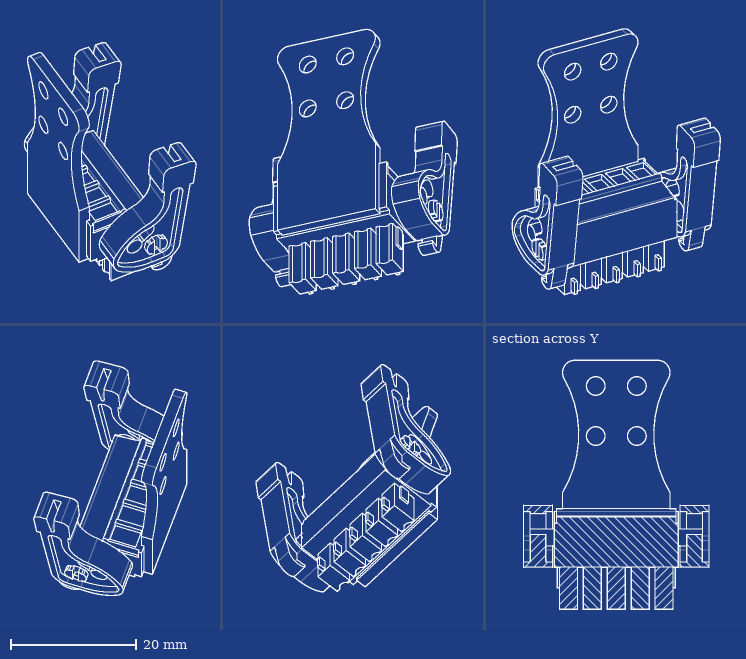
import cadquery as cq
import math


TOTAL_WIDTH = 29.65
TOTAL_HEIGHT = 39.75

POLE_COUNT = 5
POLE_PITCH = 3.8

BODY_BOTTOM = 6.68

HOUSING_HALF_WIDTH = 9.9
HOUSING_FRONT = 1.4
HOUSING_BACK = 12.5
HOUSING_TOP = 15.62
UPPER_HALF_WIDTH = 9.55
LEDGE_HEIGHT = 13.75
LEDGE_FRONT = 1.95
FOOT_NOTCH_TOP = 7.4
FOOT_NOTCH_BACK = 2.55
RIDGE_FRONT = 7.1
RIDGE_WIDTH = 0.9
RIDGE_TOP = 16.05
DECK_FRONT_HEIGHT = 14.9
DECK_BACK_HEIGHT = 14.2
DECK_BACK = 11.95
POCKET_WIDTH = 3.1
POCKET_FRONT = 2.62
POCKET_DEPTH = 1.0
TAB_HALF_SPAN = 9.42
TAB_FRONT = 6.95
TAB_BACK = 8.6
TAB_BOTTOM = 3.4

PLATE_THICKNESS = 1.85
PLATE_HALF_WIDTH = 8.6
PLATE_SHOULDER = 18.65
WAIST_HALF_WIDTH = 6.0
WAIST_HEIGHT = 27.95
PLATE_CORNER_RADIUS = 2.0
PLATE_HOLE_DIAMETER = 2.95
PLATE_HOLE_SPACING_X = 6.55
PLATE_HOLE_SPACING_Z = 8.0
PLATE_HOLES_CENTER = 31.65

FINGER_WIDTH = 2.9
FINGER_FRONT = 5.55
FINGER_BACK = 9.75
FINGER_GROOVE_WIDTH = 1.65
FINGER_GROOVE_DEPTH = 0.48
KEY_WIDTH = 0.55
KEY_BACK = 10.95
KEY_BOTTOM = 0.3
KEY_TOP = 2.62

LEVER_THICKNESS = 4.7
LEVER_RECESS = 1.07
GRIP_SLOT_DEPTH = 3.6
GRIP_STEP = 22.75
GRIP_CORNER_RADIUS = 1.2
PIVOT_Y = 10.95
PIVOT_Z = 10.5
PIVOT_RADIUS = 1.6
BARB_RADIUS = 1.83
BARB_HALF_HEIGHT = 1.2
BARB_LENGTH = 0.87
PIVOT_SLOT_WIDTH = 1.0
PIVOT_SLOT_DEPTH = 1.6
STUD_RADIUS = 1.35
STUD_ORBIT = 3.78
STUD_ANGLE = 165.0
GUIDE_END_ANGLE = 113.0
STUD_STOP_HEIGHT = 11.95

LEVER_OUTER = TOTAL_WIDTH / 2
LEVER_INNER = LEVER_OUTER - LEVER_THICKNESS
WEB_OUTER = LEVER_OUTER - LEVER_RECESS
WEB_THICKNESS = LEVER_THICKNESS - 2 * LEVER_RECESS
POLE_POSITIONS = [(i - (POLE_COUNT - 1) / 2) * POLE_PITCH for i in range(POLE_COUNT)]


def box(x0, x1, y0, y1, z0, z1):
    """Box between two opposite corners."""
    return cq.Workplane("XY").box(x1 - x0, y1 - y0, z1 - z0, centered=False).translate((x0, y0, z0))


def side_plane(x):
    """Workplane at the given X with local axes Y and Z, facing +X."""
    return cq.Workplane("YZ", origin=(x, 0, 0))


def around_pivot(radius, angle):
    """Point (Y, Z) at a polar position about the lever pivot."""
    a = math.radians(angle)
    return (PIVOT_Y + radius * math.cos(a), PIVOT_Z + radius * math.sin(a))


def make_plate():
    rise = WAIST_HEIGHT - PLATE_SHOULDER
    sagitta = PLATE_HALF_WIDTH - WAIST_HALF_WIDTH
    waist_radius = (rise**2 + sagitta**2) / (2 * sagitta)
    r = PLATE_CORNER_RADIUS
    corner_x = PLATE_HALF_WIDTH - r
    corner_z = TOTAL_HEIGHT - r
    slope = math.atan2(corner_z - WAIST_HEIGHT, WAIST_HALF_WIDTH + waist_radius - corner_x)
    neck_x = corner_x + r * math.cos(slope)
    neck_z = corner_z - r * math.sin(slope)
    mid = (math.pi / 2 - slope) / 2
    corner_mid = (corner_x + r * math.sin(mid), corner_z + r * math.cos(mid))

    plate = (
        cq.Workplane("XZ")
        .moveTo(-PLATE_HALF_WIDTH, BODY_BOTTOM)
        .lineTo(PLATE_HALF_WIDTH, BODY_BOTTOM)
        .lineTo(PLATE_HALF_WIDTH, PLATE_SHOULDER)
        .threePointArc((WAIST_HALF_WIDTH, WAIST_HEIGHT), (neck_x, neck_z))
        .threePointArc(corner_mid, (corner_x, TOTAL_HEIGHT))
        .lineTo(-corner_x, TOTAL_HEIGHT)
        .threePointArc((-corner_mid[0], corner_mid[1]), (-neck_x, neck_z))
        .threePointArc((-WAIST_HALF_WIDTH, WAIST_HEIGHT), (-PLATE_HALF_WIDTH, PLATE_SHOULDER))
        .close()
        .extrude(-PLATE_THICKNESS)
    )
    holes = (
        cq.Workplane("XZ", origin=(0, 0, PLATE_HOLES_CENTER))
        .rarray(PLATE_HOLE_SPACING_X, PLATE_HOLE_SPACING_Z, 2, 2)
        .circle(PLATE_HOLE_DIAMETER / 2)
        .extrude(-PLATE_THICKNESS)
    )
    return plate.cut(holes)


def make_finger(x):
    half = FINGER_WIDTH / 2
    groove_half = FINGER_GROOVE_WIDTH / 2
    finger = (
        cq.Workplane("XY")
        .moveTo(x - half, FINGER_FRONT)
        .lineTo(x - groove_half, FINGER_FRONT)
        .threePointArc((x, FINGER_FRONT + FINGER_GROOVE_DEPTH), (x + groove_half, FINGER_FRONT))
        .lineTo(x + half, FINGER_FRONT)
        .lineTo(x + half, FINGER_BACK)
        .lineTo(x - half, FINGER_BACK)
        .close()
        .extrude(BODY_BOTTOM)
    )
    key = box(x - KEY_WIDTH / 2, x + KEY_WIDTH / 2, FINGER_BACK, KEY_BACK, KEY_BOTTOM, KEY_TOP)
    return finger.union(key)


def make_housing_block():
    """Side profile with the rounded ridge and sloping deck, extruded along X."""
    ridge_back = RIDGE_FRONT + RIDGE_WIDTH
    ridge_radius = RIDGE_WIDTH / 2
    ridge_spring = RIDGE_TOP - ridge_radius
    return (
        side_plane(-HOUSING_HALF_WIDTH)
        .moveTo(HOUSING_FRONT, FOOT_NOTCH_TOP)
        .lineTo(FOOT_NOTCH_BACK, FOOT_NOTCH_TOP)
        .lineTo(FOOT_NOTCH_BACK, BODY_BOTTOM)
        .lineTo(HOUSING_BACK, BODY_BOTTOM)
        .lineTo(HOUSING_BACK, DECK_BACK_HEIGHT)
        .lineTo(DECK_BACK, DECK_BACK_HEIGHT)
        .lineTo(ridge_back, DECK_FRONT_HEIGHT)
        .lineTo(ridge_back, ridge_spring)
        .threePointArc((ridge_back - ridge_radius, RIDGE_TOP), (RIDGE_FRONT, ridge_spring))
        .lineTo(RIDGE_FRONT, HOUSING_TOP)
        .lineTo(HOUSING_FRONT, HOUSING_TOP)
        .close()
        .extrude(2 * HOUSING_HALF_WIDTH)
    )


def make_pivot():
    """Split snap pivot on the +X side, with barbs that hold the lever web."""
    shaft_length = WEB_OUTER - HOUSING_HALF_WIDTH
    shaft = (
        side_plane(HOUSING_HALF_WIDTH)
        .center(PIVOT_Y, PIVOT_Z)
        .circle(PIVOT_RADIUS)
        .extrude(shaft_length + BARB_LENGTH)
    )
    barb_disc = side_plane(WEB_OUTER).center(PIVOT_Y, PIVOT_Z).circle(BARB_RADIUS).extrude(BARB_LENGTH)
    barb_band = (
        side_plane(WEB_OUTER)
        .center(PIVOT_Y, PIVOT_Z)
        .rect(2 * BARB_RADIUS, 2 * BARB_HALF_HEIGHT)
        .extrude(BARB_LENGTH)
    )
    barbs = barb_disc.intersect(barb_band)
    slot_half = PIVOT_SLOT_WIDTH / 2
    tip = WEB_OUTER + BARB_LENGTH
    slot_floor = tip - PIVOT_SLOT_DEPTH
    slot = (
        cq.Workplane("XY", origin=(0, 0, PIVOT_Z - BARB_RADIUS))
        .moveTo(tip, PIVOT_Y - slot_half)
        .lineTo(slot_floor + slot_half, PIVOT_Y - slot_half)
        .threePointArc((slot_floor, PIVOT_Y), (slot_floor + slot_half, PIVOT_Y + slot_half))
        .lineTo(tip, PIVOT_Y + slot_half)
        .close()
        .extrude(2 * BARB_RADIUS)
    )
    return shaft.union(barbs).cut(slot)


def make_guide_stud():
    return (
        side_plane(HOUSING_HALF_WIDTH)
        .center(*around_pivot(STUD_ORBIT, STUD_ANGLE))
        .circle(STUD_RADIUS)
        .extrude(WEB_OUTER - HOUSING_HALF_WIDTH)
    )


def make_housing():
    housing = make_housing_block()

    housing = housing.cut(
        box(-PLATE_HALF_WIDTH, PLATE_HALF_WIDTH, 0, PLATE_THICKNESS, BODY_BOTTOM, HOUSING_TOP)
    )

    for x in POLE_POSITIONS:
        housing = housing.cut(
            box(
                x - POCKET_WIDTH / 2,
                x + POCKET_WIDTH / 2,
                POCKET_FRONT,
                RIDGE_FRONT,
                HOUSING_TOP - POCKET_DEPTH,
                HOUSING_TOP,
            )
        )

    ledge = box(UPPER_HALF_WIDTH, HOUSING_HALF_WIDTH, LEDGE_FRONT, HOUSING_BACK, LEDGE_HEIGHT, RIDGE_TOP)
    finger_side = POLE_POSITIONS[-1] + FINGER_WIDTH / 2
    tab = box(finger_side, TAB_HALF_SPAN, TAB_FRONT, TAB_BACK, TAB_BOTTOM, BODY_BOTTOM)

    fittings = tab.union(make_pivot()).union(make_guide_stud())
    housing = housing.cut(ledge).cut(ledge.mirror("YZ"))
    return housing.union(fittings).union(fittings.mirror("YZ"))


def lever_blade(x):
    """Full-thickness outline with the rounded nose, up to the foot of the grip."""
    return (
        side_plane(x)
        .moveTo(12.3, BODY_BOTTOM)
        .threePointArc((13.95, 7.6), (14.85, 8.85))
        .lineTo(16.9, GRIP_STEP)
        .lineTo(12.12, GRIP_STEP)
        .lineTo(12.0, 20.15)
        .threePointArc((10.77, 17.65), (8.75, 16.58))
        .threePointArc((5.7, 15.03), (3.35, 12.5))
        .lineTo(2.95, 11.8)
        .threePointArc((2.85, 10.35), (3.4, 8.85))
        .threePointArc((5.6, 7.35), (8.25, BODY_BOTTOM))
        .close()
        .extrude(LEVER_THICKNESS)
    )


def lever_grip(x):
    """Head at the top of the lever, with its two upper corners rounded."""
    outline = [
        (17.4, 22.15),
        (18.05, 27.25),
        (12.1, 27.8),
        (11.75, GRIP_STEP),
        (12.12, GRIP_STEP),
        (12.32, 22.15),
    ]
    above_step = cq.selectors.BoxSelector(
        (x - 0.4, 0, GRIP_STEP + 0.4),
        (x + LEVER_THICKNESS + 0.4, TOTAL_WIDTH, TOTAL_HEIGHT),
    )
    grip = side_plane(x).polyline(outline).close().extrude(LEVER_THICKNESS)
    return grip.edges("|X").edges(above_step).fillet(GRIP_CORNER_RADIUS)


def grip_slot(x):
    """Wedge-shaped slot in the head, open at the top and at the -X face."""
    return (
        side_plane(x)
        .moveTo(14.5, 28.22)
        .lineTo(15.9, 28.22)
        .lineTo(15.0, 23.85)
        .threePointArc((14.7, 23.57), (14.45, 23.85))
        .close()
        .extrude(GRIP_SLOT_DEPTH)
    )


def lever_recess(x):
    """Recess inside the rim of the blade."""
    return (
        side_plane(x)
        .moveTo(12.32, 7.6)
        .threePointArc((13.3, 8.0), (13.75, 9.0))
        .lineTo(15.45, 21.15)
        .threePointArc((14.5, 22.38), (13.28, 21.55))
        .lineTo(13.15, 20.15)
        .threePointArc((11.65, 16.95), (8.75, 15.55))
        .threePointArc((5.95, 14.1), (4.05, 11.73))
        .lineTo(3.7, 10.97)
        .threePointArc((3.6, 10.2), (4.05, 9.5))
        .threePointArc((6.68, 8.05), (9.95, 7.6))
        .close()
        .extrude(LEVER_RECESS)
    )


def guide_slot(x):
    """Curved slot through the web, concentric with the pivot, with a stop ledge near the stud."""
    outer = STUD_ORBIT + STUD_RADIUS
    inner = STUD_ORBIT - STUD_RADIUS
    middle_angle = (STUD_ANGLE + GUIDE_END_ANGLE) / 2
    band = (
        side_plane(x)
        .moveTo(*around_pivot(outer, STUD_ANGLE))
        .threePointArc(around_pivot(outer, middle_angle), around_pivot(outer, GUIDE_END_ANGLE))
        .lineTo(*around_pivot(inner, GUIDE_END_ANGLE))
        .threePointArc(around_pivot(inner, middle_angle), around_pivot(inner, STUD_ANGLE))
        .close()
        .extrude(LEVER_THICKNESS)
    )
    ends = (
        side_plane(x)
        .pushPoints([around_pivot(STUD_ORBIT, a) for a in (STUD_ANGLE, GUIDE_END_ANGLE)])
        .circle(STUD_RADIUS)
        .extrude(LEVER_THICKNESS)
    )
    stop = box(x, x + LEVER_THICKNESS, 0, PIVOT_Y, BODY_BOTTOM, STUD_STOP_HEIGHT)
    return band.cut(stop).union(ends)


def lever_hook(x):
    """Latch hook below the blade, as thick as the web."""
    return (
        side_plane(x + LEVER_RECESS)
        .moveTo(14.85, 8.85)
        .lineTo(14.05, 5.55)
        .threePointArc((12.45, 3.85), (10.6, 4.55))
        .lineTo(10.6, 5.0)
        .lineTo(10.97, 4.9)
        .lineTo(12.3, 4.9)
        .lineTo(12.3, 7.55)
        .close()
        .extrude(WEB_THICKNESS)
    )


def make_lever(x):
    """Lever whose -X face lies at the given X."""
    lever = lever_blade(x).union(lever_grip(x)).union(lever_hook(x))
    pivot_hole = side_plane(x).center(PIVOT_Y, PIVOT_Z).circle(PIVOT_RADIUS).extrude(LEVER_THICKNESS)
    for recess_x in (x, x + LEVER_THICKNESS - LEVER_RECESS):
        lever = lever.cut(lever_recess(recess_x))
    return lever.cut(grip_slot(x)).cut(guide_slot(x)).cut(pivot_hole)


plate = make_plate()
housing = make_housing()
fingers = [make_finger(x) for x in POLE_POSITIONS]
levers = [make_lever(x) for x in (-LEVER_OUTER, LEVER_INNER)]

result = cq.Compound.makeCompound([b.val() for b in (plate, housing, *fingers, *levers)])